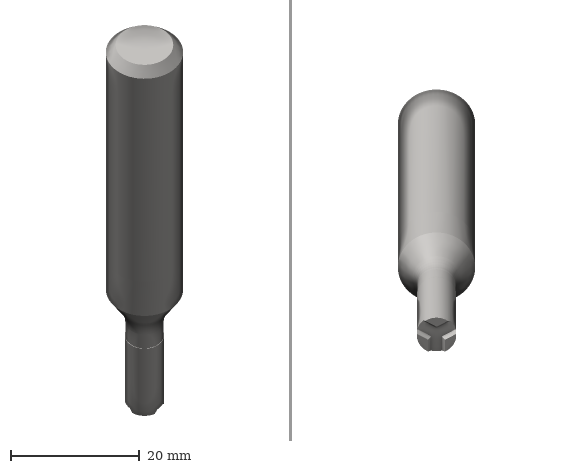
import cadquery as cq
import math

TOTAL_LENGTH = 76.5
SHANK_DIAMETER = 12.0
TOP_CHAMFER = 1.5
SHANK_COLLAR_TOP = 31.5
NECK_DIAMETER = 6.0
NECK_LENGTH = 3.0
SHOULDER_ANGLE = math.radians(30)
NECK_FILLET_RADIUS = 6.0

TIP_DIAMETER = 6.1
TIP_LENGTH = 14.4
GROOVE_COUNT = 3
GROOVE_DEPTH = 0.7
GROOVE_MOUTH_WIDTH = 2.6
GROOVE_FLOOR_WIDTH = 1.7
FIRST_GROOVE_ANGLE = -90.0


def make_holder():
    """Revolve the holder profile; a tangent arc blends the neck into the cone.

    The collar and upper shank stay separate faces, so the revolve is not cleaned.
    """
    shank_radius = SHANK_DIAMETER / 2
    neck_radius = NECK_DIAMETER / 2
    neck_top = TIP_LENGTH + NECK_LENGTH

    def arc_point(angle):
        radius = neck_radius + NECK_FILLET_RADIUS * (1 - math.cos(angle))
        height = neck_top + NECK_FILLET_RADIUS * math.sin(angle)
        return radius, height

    cone_radius, cone_bottom = arc_point(SHOULDER_ANGLE)
    cone_top = cone_bottom + (shank_radius - cone_radius) / math.tan(SHOULDER_ANGLE)
    return (
        cq.Workplane("XZ")
        .moveTo(0, TIP_LENGTH)
        .lineTo(neck_radius, TIP_LENGTH)
        .lineTo(neck_radius, neck_top)
        .threePointArc(arc_point(SHOULDER_ANGLE / 2), (cone_radius, cone_bottom))
        .lineTo(shank_radius, cone_top)
        .lineTo(shank_radius, SHANK_COLLAR_TOP)
        .lineTo(shank_radius, TOTAL_LENGTH - TOP_CHAMFER)
        .lineTo(shank_radius - TOP_CHAMFER, TOTAL_LENGTH)
        .lineTo(0, TOTAL_LENGTH)
        .close()
        .revolve(360, (0, 0, 0), (0, 1, 0), clean=False)
    )


def make_groove_cutter(angle):
    """Trapezoidal bar from the axis outward, at the given angle around Z."""
    return (
        cq.Workplane("YZ")
        .moveTo(-GROOVE_MOUTH_WIDTH / 2, 0)
        .lineTo(GROOVE_MOUTH_WIDTH / 2, 0)
        .lineTo(GROOVE_FLOOR_WIDTH / 2, GROOVE_DEPTH)
        .lineTo(-GROOVE_FLOOR_WIDTH / 2, GROOVE_DEPTH)
        .close()
        .extrude(TIP_DIAMETER)
        .rotate((0, 0, 0), (0, 0, 1), angle)
    )


def make_tip():
    """Round pin standing on Z = 0, with evenly spaced grooves in its lower end."""
    tip = cq.Workplane("XY").circle(TIP_DIAMETER / 2).extrude(TIP_LENGTH)
    for index in range(GROOVE_COUNT):
        angle = FIRST_GROOVE_ANGLE + index * 360 / GROOVE_COUNT
        tip = tip.cut(make_groove_cutter(angle))
    return tip


holder = make_holder()
tip = make_tip()
result = cq.Compound.makeCompound([holder.val(), tip.val()])